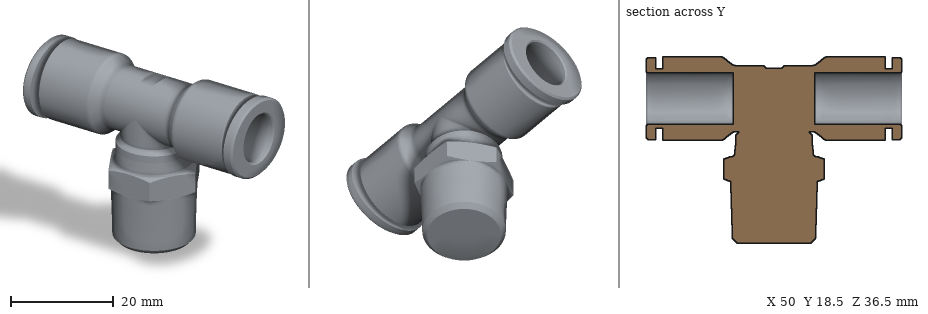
import cadquery as cq
import math

half_length = 25.0
body_radius = 6.5
sleeve_radius = 8.2
sleeve_end_x = 21.75
sleeve_end_chamfer = 0.15
shoulder_outer_x = 10.03
shoulder_inner_x = 7.9
shoulder_fillet = 0.95
edge_margin = 0.05

collar_thickness = 2.0
collar_half_width = 9.25
collar_half_height = 8.05
collar_chamfer = 0.4
neck_radius = 5.85
bore_radius = 5.0
bore_chamfer = 0.3
bore_depth = 17.0

pocket_floor_z = 6.0
pocket_floor_length = 3.0

branch_cone_top_z = -6.2
branch_radius = 7.5
branch_cone_bottom_z = -7.1
skirt_top_z = -8.6
skirt_bottom_radius = 7.75
skirt_root_radius = 0.4

hex_across_flats = 17.0
hex_bottom_z = -16.25
hex_face_radius = 8.4
hex_top_z = -11.25
hex_chamfer_angle = 20.0

thread_bottom_z = -28.25
thread_top_radius = 8.5
thread_taper = 1 / 32
thread_chamfer_height = 1.0
thread_tip_radius = 7.2


def revolve_about_z(points):
    """Solid of revolution from (radius, z) points."""
    return cq.Workplane("XZ").polyline(points).close().revolve(360, (0, 0, 0), (0, 1, 0))


def make_run():
    """Straight tube with two larger sleeves joined by blended conical shoulders."""
    chamfer_start_x = sleeve_end_x - sleeve_end_chamfer
    end_radius = sleeve_radius - sleeve_end_chamfer
    right_side = [
        (shoulder_inner_x, body_radius),
        (shoulder_outer_x, sleeve_radius),
        (chamfer_start_x, sleeve_radius),
        (sleeve_end_x, end_radius),
    ]
    left_side = [(-x, r) for x, r in reversed(right_side)]
    outline = [(-sleeve_end_x, 0)] + left_side + right_side + [(sleeve_end_x, 0)]
    run = cq.Workplane("XY").polyline(outline).close().revolve(360, (0, 0, 0), (1, 0, 0))
    for x, radius in ((shoulder_inner_x, body_radius), (shoulder_outer_x, sleeve_radius)):
        for side in (-1, 1):
            reach = radius + edge_margin
            edge_zone = cq.selectors.BoxSelector(
                (side * x - edge_margin, -reach, -reach),
                (side * x + edge_margin, reach, reach),
                boundingbox=True,
            )
            run = run.edges(edge_zone).fillet(shoulder_fillet)
    return run


def make_collar():
    """Release collar at the +X end, with its neck reaching back to the sleeve end."""
    inner_x = half_length - collar_thickness
    flange = (
        cq.Workplane("YZ", origin=(inner_x, 0, 0))
        .ellipse(collar_half_width, collar_half_height)
        .extrude(collar_thickness)
        .faces(">X")
        .chamfer(collar_chamfer)
    )
    neck_length = inner_x - sleeve_end_x
    neck = cq.Workplane("YZ", origin=(sleeve_end_x, 0, 0)).circle(neck_radius).extrude(neck_length)
    return flange.union(neck)


def make_bore():
    """Blind tube socket at the +X end with a chamfered mouth."""
    bottom_x = half_length - bore_depth
    outline = [
        (bottom_x, 0),
        (bottom_x, bore_radius),
        (half_length - bore_chamfer, bore_radius),
        (half_length, bore_radius + bore_chamfer),
        (half_length, 0),
    ]
    return cq.Workplane("XY").polyline(outline).close().revolve(360, (0, 0, 0), (1, 0, 0))


def make_top_pocket():
    """Flat cut across the top of the body, with 45 degree ends."""
    rise = sleeve_radius - pocket_floor_z
    half_floor = pocket_floor_length / 2
    outline = [
        (-half_floor, pocket_floor_z),
        (half_floor, pocket_floor_z),
        (half_floor + rise, sleeve_radius),
        (-half_floor - rise, sleeve_radius),
    ]
    return cq.Workplane("XZ").polyline(outline).close().extrude(body_radius, both=True)


def make_branch():
    """Round branch below the body: a flared skirt that blends into the hexagon's top face."""
    root_top_z = hex_top_z + skirt_root_radius
    root_outer_radius = skirt_bottom_radius + skirt_root_radius
    root_inset = skirt_root_radius * (1 - math.cos(math.pi / 4))
    return (
        cq.Workplane("XZ")
        .lineTo(body_radius, 0)
        .lineTo(body_radius, branch_cone_top_z)
        .lineTo(branch_radius, branch_cone_bottom_z)
        .lineTo(branch_radius, skirt_top_z)
        .lineTo(skirt_bottom_radius, root_top_z)
        .threePointArc(
            (skirt_bottom_radius + root_inset, hex_top_z + root_inset),
            (root_outer_radius, hex_top_z),
        )
        .lineTo(0, hex_top_z)
        .close()
        .revolve(360, (0, 0, 0), (0, 1, 0))
    )


def make_hexagon():
    """Hexagon with conical chamfers on its top and bottom corners."""
    height = hex_top_z - hex_bottom_z
    corner_radius = hex_across_flats / 2 / math.cos(math.pi / 6)
    drop = (corner_radius - hex_face_radius) * math.tan(math.radians(hex_chamfer_angle))
    prism = (
        cq.Workplane("XY", origin=(0, 0, hex_bottom_z))
        .polygon(6, 2 * corner_radius)
        .extrude(height)
    )
    envelope = revolve_about_z([
        (0, hex_top_z),
        (hex_face_radius, hex_top_z),
        (corner_radius, hex_top_z - drop),
        (corner_radius, hex_bottom_z + drop),
        (hex_face_radius, hex_bottom_z),
        (0, hex_bottom_z),
    ])
    return prism.intersect(envelope)


def make_thread():
    """Tapered thread blank with a chamfered tip."""
    chamfer_z = thread_bottom_z + thread_chamfer_height
    chamfer_radius = thread_top_radius - (hex_bottom_z - chamfer_z) * thread_taper
    return revolve_about_z([
        (0, hex_bottom_z),
        (thread_top_radius, hex_bottom_z),
        (chamfer_radius, chamfer_z),
        (thread_tip_radius, thread_bottom_z),
        (0, thread_bottom_z),
    ])


result = make_run().cut(make_top_pocket())
result = result.union(make_branch()).union(make_hexagon()).union(make_thread())
collar = make_collar()
bore = make_bore()
for turn in (0, 180):
    result = result.union(collar.rotate((0, 0, 0), (0, 0, 1), turn))
    result = result.cut(bore.rotate((0, 0, 0), (0, 0, 1), turn))